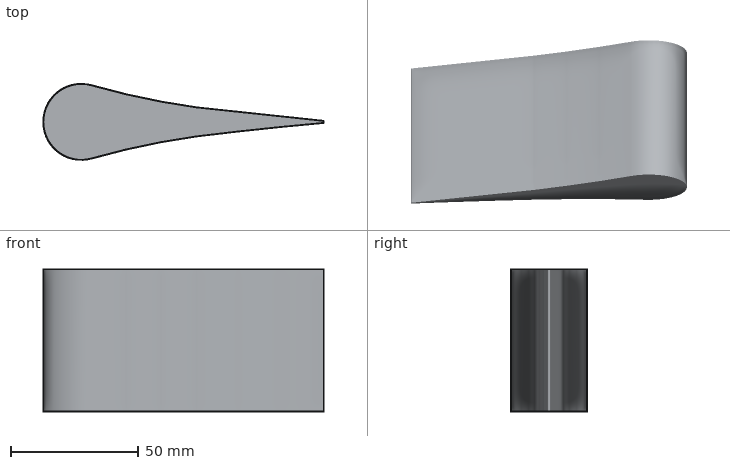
import cadquery as cq
import math

span = 56.0
chord = 110.4
head_radius = 15.0
tip_radius = 0.5
flank_radius = 300.0
flank_start_x = 4.11
flank_end_x = 45.2
tail_hollow = 0.22

tip_x = chord - head_radius
tip_centre_x = tip_x - tip_radius

flank_start_y = math.sqrt(head_radius**2 - flank_start_x**2)
centre_ratio = (head_radius + flank_radius) / head_radius
flank_centre_x = flank_start_x * centre_ratio
flank_centre_y = flank_start_y * centre_ratio


def flank_height(x):
    """Half thickness of the section on the concave flank at position x."""
    return flank_centre_y - math.sqrt(flank_radius**2 - (x - flank_centre_x) ** 2)


flank_mid_x = (flank_start_x + flank_end_x) / 2
flank_mid_y = flank_height(flank_mid_x)
flank_end_y = flank_height(flank_end_x)


def blade_section():
    """Closed teardrop outline: straight tail on +Y, slightly hollow tail on -Y."""
    return (
        cq.Workplane("XY")
        .moveTo(flank_start_x, -flank_start_y)
        .threePointArc((-head_radius, 0), (flank_start_x, flank_start_y))
        .threePointArc((flank_mid_x, flank_mid_y), (flank_end_x, flank_end_y))
        .lineTo(tip_centre_x, tip_radius)
        .threePointArc((tip_x, 0), (tip_centre_x, -tip_radius))
        .sagittaArc((flank_end_x, -flank_end_y), -tail_hollow)
        .threePointArc((flank_mid_x, -flank_mid_y), (flank_start_x, -flank_start_y))
        .close()
    )


result = blade_section().extrude(span)